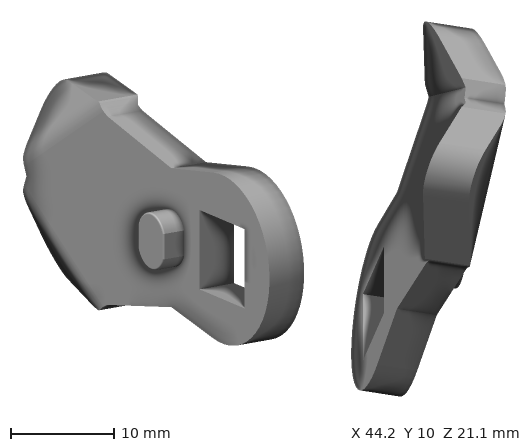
import cadquery as cq
import math

thickness = 4.0
head_radius = 8.5
square_side = 8.0

waist_x = -9.0
waist_half_height = 7.0

notch_x = -34.9
tip_x = head_radius - 44.15
tip_z = 1.72
side_end_x = -35.45
side_end_z = 6.3
wing_top_x = -31.6
wing_top_z = 10.03
peak_x = -22.3
peak_z = 21.05 / 2
shoulder_start_x = -22.0
shoulder_start_z = 10.42
shoulder_end_x = -20.4
shoulder_end_z = 9.5
shoulder_sag = 0.065
corner_radius = 4.0

bend_x = -35.35
bend_z = 0.93
bend_slope = 32.2
bend_angle = 30.0
wing_reach = 26.5
flat_reach = 44.15
bend_overrun = 53.0
bend_length = 88.35

pin_width = 4.55
pin_height = 5.7
pin_flat = 2.55
pin_length = 2.4
pin_rounding = 0.18

wing_depth = 11.05
block_depth = 26.5


def outline():
    """Outline of the plate, symmetric about Z = 0."""
    waist_distance = math.hypot(waist_x, waist_half_height)
    waist_direction = math.atan2(waist_half_height, waist_x)
    tangent = waist_direction - math.acos(head_radius / waist_distance)
    tangent_x = head_radius * math.cos(tangent)
    tangent_z = head_radius * math.sin(tangent)

    run = shoulder_end_x - shoulder_start_x
    drop = shoulder_start_z - shoulder_end_z
    chord = math.hypot(run, drop)
    middle_x = (shoulder_start_x + shoulder_end_x) / 2 - shoulder_sag * drop / chord
    middle_z = (shoulder_start_z + shoulder_end_z) / 2 - shoulder_sag * run / chord
    return (
        cq.Workplane("XZ")
        .moveTo(notch_x, 0)
        .lineTo(tip_x, tip_z)
        .lineTo(side_end_x, side_end_z)
        .radiusArc((wing_top_x, wing_top_z), corner_radius)
        .lineTo(peak_x, peak_z)
        .lineTo(shoulder_start_x, shoulder_start_z)
        .threePointArc((middle_x, middle_z), (shoulder_end_x, shoulder_end_z))
        .lineTo(waist_x, waist_half_height)
        .lineTo(tangent_x, tangent_z)
        .threePointArc((head_radius, 0), (tangent_x, -tangent_z))
        .lineTo(waist_x, -waist_half_height)
        .lineTo(shoulder_end_x, -shoulder_end_z)
        .threePointArc((middle_x, -middle_z), (shoulder_start_x, -shoulder_start_z))
        .lineTo(peak_x, -peak_z)
        .lineTo(wing_top_x, -wing_top_z)
        .radiusArc((side_end_x, -side_end_z), corner_radius)
        .lineTo(tip_x, -tip_z)
        .close()
    )


def bend_plane():
    """Plane across the bend line: local X points out to the wing, local Y to the back."""
    slope = math.radians(bend_slope)
    along = (math.cos(slope), 0, math.sin(slope))
    outward = (-math.sin(slope), 0, math.cos(slope))
    far_end = (bend_x + bend_overrun * along[0], 0, bend_z + bend_overrun * along[2])
    back_along = (-along[0], 0, -along[2])
    return cq.Workplane(cq.Plane(origin=far_end, xDir=outward, normal=back_along))


def front_waste():
    """Space in front of the upper bend and wing."""
    angle = math.radians(bend_angle)

    def on_bend(turn):
        return (thickness * math.sin(turn), thickness * (1 - math.cos(turn)))

    front_x, front_y = on_bend(angle)
    end_x = front_x + wing_reach * math.cos(angle)
    end_y = front_y + wing_reach * math.sin(angle)
    return (
        bend_plane()
        .moveTo(0, 0)
        .threePointArc(on_bend(angle / 2), (front_x, front_y))
        .lineTo(end_x, end_y)
        .lineTo(end_x, 0)
        .close()
        .extrude(bend_length)
    )


def back_waste():
    """Space behind the flat part and the upper wing."""
    angle = math.radians(bend_angle)
    end_x = wing_reach * math.cos(angle)
    return (
        bend_plane()
        .moveTo(-flat_reach, thickness)
        .lineTo(0, thickness)
        .lineTo(end_x, thickness + wing_reach * math.sin(angle))
        .lineTo(end_x, block_depth)
        .lineTo(-flat_reach, block_depth)
        .close()
        .extrude(bend_length)
    )


def bent_plate():
    """Deep block of the plate's outline, cut down to the flat part and the two wings."""
    block = outline().extrude(-wing_depth)
    upper_front = front_waste()
    upper_back = back_waste()
    back = upper_back.intersect(upper_back.mirror("XY"))
    return block.cut(upper_front).cut(upper_front.mirror("XY")).cut(back)


def pin():
    """Flat-sided pin with rounded ends and a rounded tip edge."""
    half_width = pin_width / 2
    half_flat = pin_flat / 2
    profile = (
        cq.Workplane("XZ")
        .moveTo(-half_width, -half_flat)
        .lineTo(-half_width, half_flat)
        .threePointArc((0, pin_height / 2), (half_width, half_flat))
        .lineTo(half_width, -half_flat)
        .threePointArc((0, -pin_height / 2), (-half_width, -half_flat))
        .close()
    )
    return profile.extrude(pin_length).faces("<Y").fillet(pin_rounding).translate((waist_x, 0, 0))


square_hole = cq.Workplane("XZ").rect(square_side, square_side).extrude(-thickness)
result = bent_plate().cut(square_hole).union(pin())